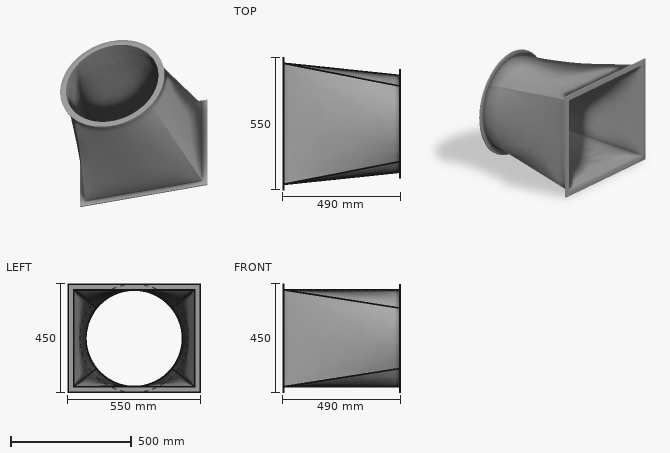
import cadquery as cq
import math

total_length = 490.0
flange_width = 550.0
flange_height = 450.0
flange_thickness = 5.0
ring_diameter = flange_height

wall = 3.0
mouth_width = 506.0
mouth_height = 406.0
bore_diameter = 400.0

duct_start = flange_thickness
duct_end = total_length - flange_thickness


def rectangular_flange():
    """Rectangular frame whose opening matches the outside of the duct mouth."""
    return (
        cq.Workplane("YZ")
        .rect(flange_width, flange_height)
        .rect(mouth_width, mouth_height)
        .extrude(flange_thickness)
    )


def round_flange():
    """Flat ring with the same bore as the round outlet."""
    return (
        cq.Workplane("YZ", origin=(duct_end, 0, 0))
        .circle(ring_diameter / 2)
        .circle(bore_diameter / 2)
        .extrude(flange_thickness)
    )


def transition(width, height, diameter):
    """Solid from a rectangle to a circle split into arcs along the rectangle's diagonals."""
    radius = diameter / 2
    diagonal = math.hypot(width, height)
    corner_y = radius * width / diagonal
    corner_z = radius * height / diagonal
    return (
        cq.Workplane("YZ", origin=(duct_start, 0, 0))
        .moveTo(-width / 2, -height / 2)
        .lineTo(width / 2, -height / 2)
        .lineTo(width / 2, height / 2)
        .lineTo(-width / 2, height / 2)
        .close()
        .workplane(offset=duct_end - duct_start)
        .moveTo(-corner_y, -corner_z)
        .threePointArc((0, -radius), (corner_y, -corner_z))
        .threePointArc((radius, 0), (corner_y, corner_z))
        .threePointArc((0, radius), (-corner_y, corner_z))
        .threePointArc((-radius, 0), (-corner_y, -corner_z))
        .close()
        .loft(ruled=True)
    )


def transition_duct():
    """Thin-walled duct between the two flanges."""
    outside = transition(mouth_width, mouth_height, bore_diameter + 2 * wall)
    inside = transition(mouth_width - 2 * wall, mouth_height - 2 * wall, bore_diameter)
    return outside.cut(inside).solids()


mouth_flange = rectangular_flange()
outlet_flange = round_flange()
duct = transition_duct()

result = cq.Compound.makeCompound([mouth_flange.val(), outlet_flange.val(), duct.val()])